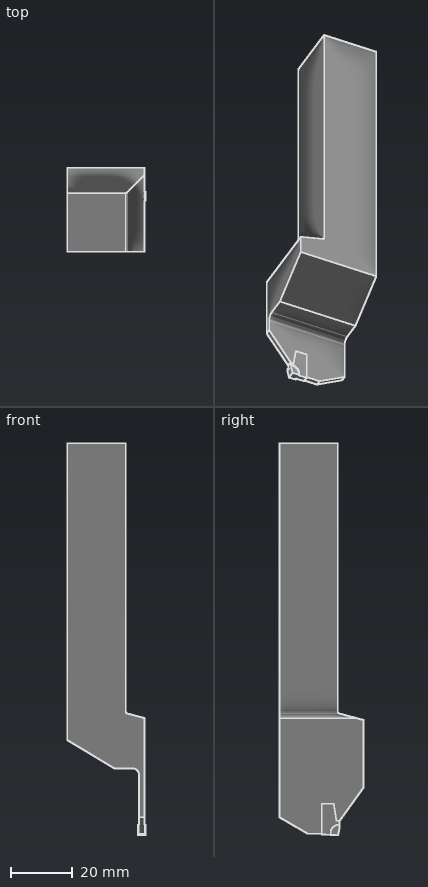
import cadquery as cq
import math


total_height = 127.0
shank_width = 19.0
shank_depth = 18.9
head_width = 25.1
head_depth = 27.3
shoulder_z = 39.6
shoulder_angle = 15.0
shoulder_fillet = 0.5

back_corner_z = 30.9
underside_x = 15.4
underside_z = 21.6

blade_thickness = 1.9
blade_root_fillet = 1.9
blade_bottom_z = 0.5
blade_front_z = 15.5
blade_heel_y = 9.1
blade_heel_z = 5.8
blade_left_x = head_width - blade_thickness

seat_y = 13.7
seat_top_z = 10.2
insert_top_y = 17.7
insert_neck_y = 18.4
insert_neck_z = 5.2
nose_y = 19.5
nose_top_z = 4.7
nose_bottom_z = 2.4
cutting_edge_y = 19.0
insert_heel_z = 0.3

cheek_overhang = 0.4
cheek_top_z = 3.4
cheek_arc_y = 17.4
cheek_arc_z = 2.7
cheek_bottom_y = 16.6
cheek_width = blade_thickness + 2 * cheek_overhang


def shoulder_drop(reach):
    """Fall of the sloping shoulder over a horizontal reach."""
    return reach * math.tan(math.radians(shoulder_angle))


def extrude_along_x(profile, start_x, thickness):
    """Turn a closed profile, drawn in the YZ plane, into a slab along +X."""
    return profile.extrude(thickness).translate((start_x, 0, 0))


def insert_profile():
    return (
        cq.Workplane("YZ")
        .moveTo(seat_y, insert_heel_z)
        .lineTo(seat_y, seat_top_z)
        .lineTo(insert_top_y, seat_top_z)
        .lineTo(insert_neck_y, insert_neck_z)
        .lineTo(insert_neck_y, nose_top_z)
        .lineTo(nose_y, nose_top_z)
        .lineTo(nose_y, nose_bottom_z)
        .lineTo(cutting_edge_y, 0)
        .close()
    )


def cheek_profile():
    bottom_slope = insert_heel_z / (cutting_edge_y - seat_y)
    cheek_bottom_z = (cutting_edge_y - cheek_bottom_y) * bottom_slope
    return (
        cq.Workplane("YZ")
        .moveTo(cutting_edge_y, 0)
        .lineTo(nose_y, nose_bottom_z)
        .lineTo(nose_y, cheek_top_z)
        .threePointArc((cheek_arc_y, cheek_arc_z), (cheek_bottom_y, cheek_bottom_z))
        .close()
    )


def make_insert():
    body = extrude_along_x(insert_profile(), blade_left_x, blade_thickness)
    cheeks = extrude_along_x(cheek_profile(), blade_left_x - cheek_overhang, cheek_width)
    return body.union(cheeks)


def width_slab():
    """Outline of the holder across X, carried through the full head depth."""
    slab = (
        cq.Workplane("XZ")
        .moveTo(0, total_height)
        .lineTo(shank_width, total_height)
        .lineTo(shank_width, shoulder_z)
        .lineTo(head_width, shoulder_z - shoulder_drop(head_width - shank_width))
        .lineTo(head_width, blade_bottom_z)
        .lineTo(blade_left_x, blade_bottom_z)
        .lineTo(blade_left_x, underside_z)
        .lineTo(underside_x, underside_z)
        .lineTo(0, back_corner_z)
        .close()
        .extrude(-head_depth)
    )
    shoulder_edge = cq.NearestToPointSelector((shank_width, head_depth / 2, shoulder_z))
    root_edge = cq.NearestToPointSelector((blade_left_x, head_depth / 2, underside_z))
    slab = slab.edges(shoulder_edge).fillet(shoulder_fillet)
    return slab.edges(root_edge).fillet(blade_root_fillet)


def depth_slab():
    """Outline of the holder across Y, carried through the full head width."""
    profile = (
        cq.Workplane("YZ")
        .moveTo(0, total_height)
        .lineTo(shank_depth, total_height)
        .lineTo(shank_depth, shoulder_z)
        .lineTo(head_depth, shoulder_z - shoulder_drop(head_depth - shank_depth))
        .lineTo(head_depth, blade_front_z)
        .lineTo(nose_y, nose_top_z)
        .lineTo(insert_neck_y, nose_top_z)
        .lineTo(insert_neck_y, blade_bottom_z)
        .lineTo(blade_heel_y, blade_bottom_z)
        .lineTo(0, blade_heel_z)
        .close()
    )
    slab = extrude_along_x(profile, 0, head_width)
    shoulder_edge = cq.NearestToPointSelector((head_width / 2, shank_depth, shoulder_z))
    return slab.edges(shoulder_edge).fillet(shoulder_fillet)


def make_holder():
    """The holder is what the two outlines share, less the seat of the insert."""
    seat = extrude_along_x(insert_profile(), blade_left_x, blade_thickness)
    return width_slab().intersect(depth_slab()).cut(seat)


holder = make_holder()
insert = make_insert()

result = cq.Compound.makeCompound([holder.solids().val(), insert.solids().val()])